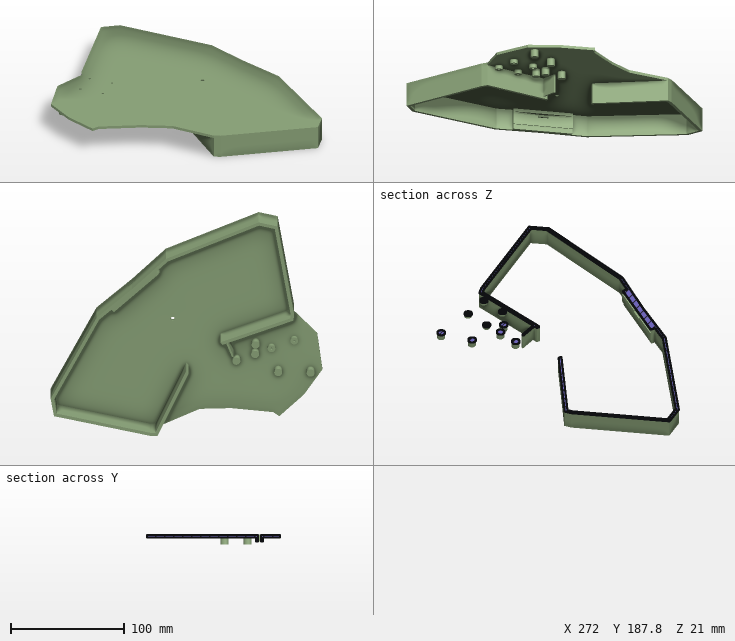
import cadquery as cq
import math

height = 21.0
depth = 187.8
half_width = 136.0
floor_thickness = 2.5
floor_under = height - floor_thickness

wall_thickness = 3.0
front_corner_x = 82.5
front_corner_y = 66.3
front_wall_angle = 22.5
opening_half_width = 20.7
front_wall_rise = (front_corner_x - opening_half_width) * math.tan(math.radians(front_wall_angle))
opening_y = front_corner_y + front_wall_rise
back_dip = 1.0
body_right_side = [
    (opening_half_width, opening_y),
    (front_corner_x, front_corner_y),
    (87.2, 70.7),
    (half_width, 143.2),
    (126.5, 157.5),
    (42.0, depth),
]

shelf_outline = [
    (-front_corner_x, front_corner_y),
    (-front_corner_x, 36.0),
    (-62.0, 7.3),
    (-33.2, 0.5),
    (-2.7, 0.0),
    (-1.5, 6.5),
    (22.8, 35.0),
    (43.5, 53.5),
    (front_corner_x, front_corner_y),
    (opening_half_width, opening_y),
    (-opening_half_width, opening_y),
]

pad_half_width = 27.2
pad_face_y = 180.2
slot_width = 9.8
slot_bottom = 12.0
slot_top = 13.9
groove_top = 15.8
groove_end_depth = 0.5
groove_angle = 7.0
step_height = 4.3
step_depth = 1.0

floor_hole_diameter = 3.5
floor_hole_y = 134.5

short_diameter = 6.8
short_length = 3.5
pilot_diameter = 2.1
square_side = 21.5
square_center = (-58.5, 60.0)

tall_diameter = 7.0
tall_length = 6.5
tall_positions = [(-54.0, 14.0), (-33.7, 34.2), (-31.0, 61.1), (-37.8, 67.7), (-14.5, 67.7)]

rib_length = 15.2
rib_thickness = 1.5
rib_bottom = 2.0
rib_root_x = -25.0


def prism(points, bottom, top):
    """Upright prism over a closed outline."""
    return cq.Workplane("XY").workplane(offset=bottom).polyline(points).close().extrude(top - bottom)


def block(x_min, x_max, y_min, y_max, bottom, top):
    """Box given by its limits."""
    return prism([(x_min, y_min), (x_max, y_min), (x_max, y_max), (x_min, y_max)], bottom, top)


def posts(positions, diameter, bottom, top):
    """Equal upright cylinders."""
    base = cq.Workplane("XY").workplane(offset=bottom).pushPoints(positions)
    return base.circle(diameter / 2).extrude(top - bottom)


def make_body():
    left_side = [(-x, y) for x, y in reversed(body_right_side)]
    outline = body_right_side + [(0, depth - back_dip)] + left_side
    cavity = cq.Workplane("XY").polyline(outline).close().offset2D(-wall_thickness).extrude(floor_under)
    opening = block(
        -opening_half_width, opening_half_width, opening_y, opening_y + 2 * wall_thickness, 0, floor_under
    )
    return prism(outline, 0, height).cut(cavity).cut(opening)


def make_pad():
    """Thickening of the back wall, stepped back along its lower edge."""
    pad_back_y = depth - back_dip - wall_thickness / 2
    upper = block(-pad_half_width, pad_half_width, pad_face_y, pad_back_y, step_height, height)
    lower = block(-pad_half_width, pad_half_width, pad_face_y + step_depth, pad_back_y, 0, step_height)
    return upper.union(lower)


def make_groove():
    """Groove across the pad, deepest at the middle."""
    end_y = pad_face_y + groove_end_depth
    middle_y = end_y + pad_half_width * math.tan(math.radians(groove_angle))
    outline = [
        (-pad_half_width, pad_face_y),
        (pad_half_width, pad_face_y),
        (pad_half_width, end_y),
        (0, middle_y),
        (-pad_half_width, end_y),
    ]
    return prism(outline, slot_top, groove_top)


def make_rib():
    angle = math.radians(front_wall_angle)
    root_y = front_corner_y + (front_corner_x + rib_root_x) * math.tan(angle)
    forward = (rib_length * math.sin(angle), -rib_length * math.cos(angle))
    across = (rib_thickness * math.cos(angle), rib_thickness * math.sin(angle))
    outline = [
        (rib_root_x, root_y),
        (rib_root_x + forward[0], root_y + forward[1]),
        (rib_root_x + forward[0] + across[0], root_y + forward[1] + across[1]),
        (rib_root_x + across[0], root_y + across[1]),
    ]
    return prism(outline, rib_bottom, height)


def tilted_square():
    """Corners of the standoff square, tilted like the left front wall."""
    radius = square_side / math.sqrt(2)
    corners = []
    for quarter in range(4):
        angle = math.radians(front_wall_angle + 45 + 90 * quarter)
        x = square_center[0] + radius * math.cos(angle)
        y = square_center[1] + radius * math.sin(angle)
        corners.append((x, y))
    return corners


short_positions = tilted_square()

result = make_body().union(prism(shelf_outline, floor_under, height))
result = result.union(make_pad()).cut(make_groove())
result = result.union(make_rib())
result = result.union(posts(short_positions, short_diameter, floor_under - short_length, height))
result = result.union(posts(tall_positions, tall_diameter, floor_under - tall_length, height))

result = result.cut(block(-slot_width / 2, slot_width / 2, pad_face_y, depth, slot_bottom, slot_top))
result = result.cut(posts(short_positions, pilot_diameter, 0, height))
result = result.cut(posts([(0, floor_hole_y)], floor_hole_diameter, 0, height))